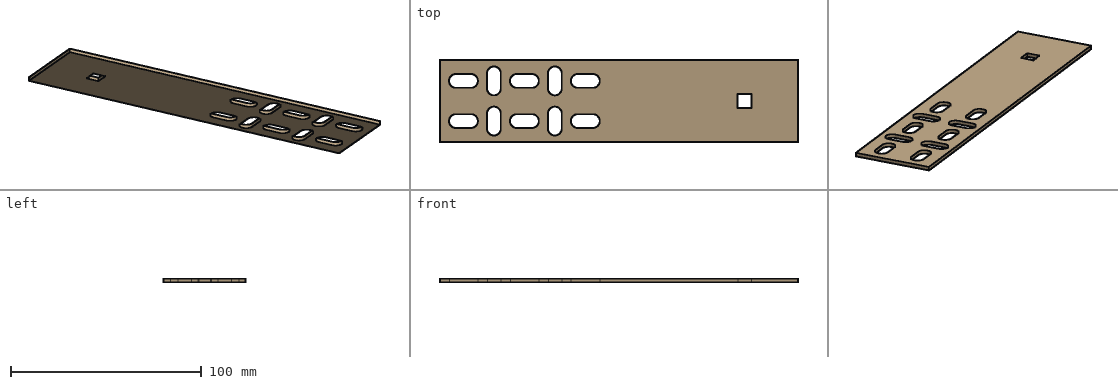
import cadquery as cq

length = 188.0
width = 43.0
thickness = 2.0

slot_length = 15.0
slot_width = 7.1
slot_columns = 5
column_pitch = 16.0
row_pitch = 21.0
first_column_inset = 12.5

square_side = 7.1
square_inset = 28.2


def slot_cutters():
    """Cutters for every slot, lengthwise in even columns and crosswise in odd ones."""
    cutters = cq.Workplane("XY")
    for column in range(slot_columns):
        x = -length / 2 + first_column_inset + column * column_pitch
        angle = 0 if column % 2 == 0 else 90
        column_slots = (
            cq.Workplane("XY")
            .pushPoints([(x, -row_pitch / 2), (x, row_pitch / 2)])
            .slot2D(slot_length, slot_width, angle)
            .extrude(thickness)
        )
        cutters = cutters.add(column_slots)
    return cutters.combine()


def square_cutter():
    """Cutter for the square hole on the strip's centre line."""
    return (
        cq.Workplane("XY")
        .center(length / 2 - square_inset, 0)
        .rect(square_side, square_side)
        .extrude(thickness)
    )


strip = cq.Workplane("XY").rect(length, width).extrude(thickness)
result = strip.cut(slot_cutters()).cut(square_cutter())